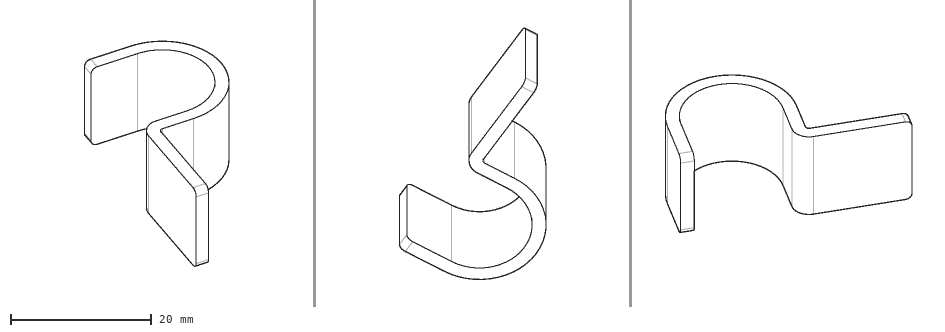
import cadquery as cq

length = 34.0
depth = 17.0
width = 14.0

thickness = 2.0
loop_outer_radius = 9.5
bend_inner_radius = 0.5
corner_radius = 1.0

loop_inner_radius = loop_outer_radius - thickness
bend_outer_radius = bend_inner_radius + thickness
foot_y = loop_outer_radius - depth
flange_top_y = foot_y + thickness
flange_end_x = length - loop_outer_radius
bend_x = loop_outer_radius + bend_inner_radius
bend_y = flange_top_y + bend_inner_radius


def bent_strip():
    """Constant-thickness strip: free leg, half loop, second leg, bend and flange."""
    return (
        cq.Workplane("XY")
        .workplane(offset=-width / 2)
        .moveTo(-loop_outer_radius, foot_y)
        .lineTo(-loop_outer_radius, 0)
        .threePointArc((0, loop_outer_radius), (loop_outer_radius, 0))
        .lineTo(loop_outer_radius, bend_y)
        .radiusArc((bend_x, flange_top_y), -bend_inner_radius)
        .lineTo(flange_end_x, flange_top_y)
        .lineTo(flange_end_x, foot_y)
        .lineTo(bend_x, foot_y)
        .radiusArc((loop_inner_radius, bend_y), bend_outer_radius)
        .lineTo(loop_inner_radius, 0)
        .threePointArc((0, loop_inner_radius), (-loop_inner_radius, 0))
        .lineTo(-loop_inner_radius, foot_y)
        .close()
        .extrude(width)
    )


def round_end_corners(strip):
    """Round the two corners at the flange end and at the free leg end."""
    strip = strip.faces(">X").edges("|Y").fillet(corner_radius)
    return strip.edges("|X").edges("<X").fillet(corner_radius)


result = round_end_corners(bent_strip())